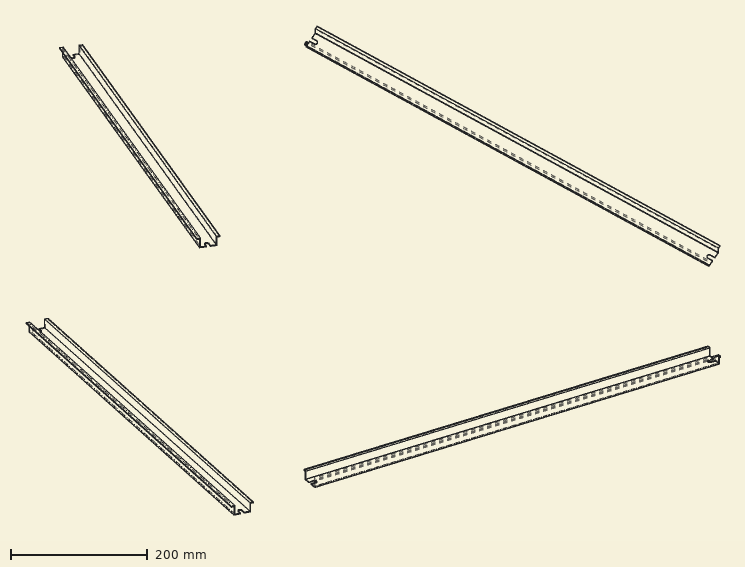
import cadquery as cq

length = 691.0
lip_span = 35.0
height = 15.0
wall = 1.5
channel_width = 27.0

slot_width = 6.0
slot_depth = 11.0


def make_rail():
    """Sharp-cornered sheet profile in the YZ plane, extruded along X."""
    half_span = lip_span / 2
    half_channel = channel_width / 2
    half_inside = half_channel - wall
    lip_underside = height - wall
    profile = (
        cq.Workplane("YZ", origin=(-length / 2, 0, 0))
        .moveTo(-half_channel, 0)
        .lineTo(half_channel, 0)
        .lineTo(half_channel, lip_underside)
        .lineTo(half_span, lip_underside)
        .lineTo(half_span, height)
        .lineTo(half_inside, height)
        .lineTo(half_inside, wall)
        .lineTo(-half_inside, wall)
        .lineTo(-half_inside, height)
        .lineTo(-half_span, height)
        .lineTo(-half_span, lip_underside)
        .lineTo(-half_channel, lip_underside)
        .close()
    )
    return profile.extrude(length)


def end_slot(end):
    """Round-nosed cutter entering the floor from the -X (-1) or +X (+1) end."""
    return (
        cq.Workplane("XY", origin=(end * length / 2, 0, 0))
        .slot2D(2 * slot_depth, slot_width)
        .extrude(height)
    )


result = make_rail()
for end in (-1, 1):
    result = result.cut(end_slot(end))